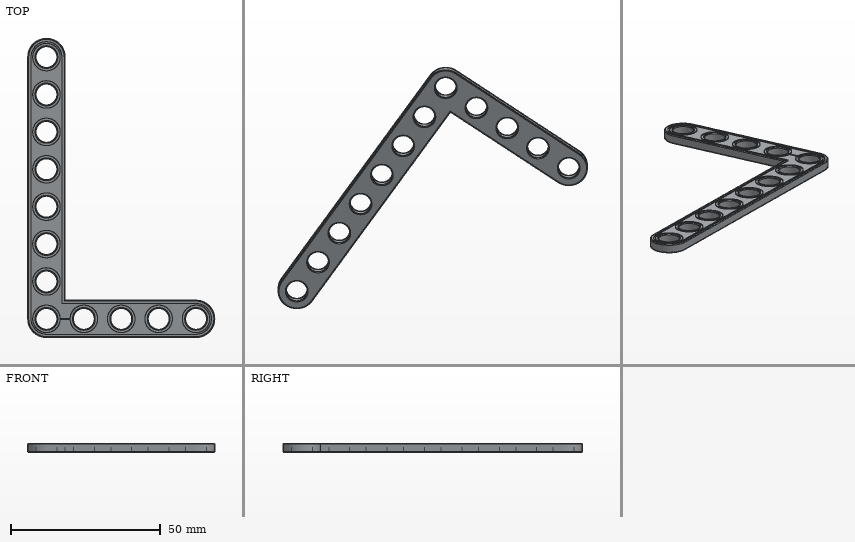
import cadquery as cq

hole_pitch = 12.5
bar_width = 12.5
thickness = 3.1
holes_along_x = 5
holes_along_y = 8
hole_diameter = 7.0
wall = 1.1
edge_chamfer = 0.3
panel_depth = 0.2
web_width = 0.3
web_height = 0.1

ring_diameter = hole_diameter + 2 * wall
panel_level = thickness - panel_depth
hole_centers = [(i * hole_pitch, 0) for i in range(holes_along_x)]
hole_centers += [(0, i * hole_pitch) for i in range(1, holes_along_y)]


def angle_plate(width, height):
    """L-shaped plate with rounded ends, centred on the two rows of holes."""
    reach_x = (holes_along_x - 1) * hole_pitch
    reach_y = (holes_along_y - 1) * hole_pitch
    x_arm = (
        cq.Workplane("XY")
        .center(reach_x / 2, 0)
        .slot2D(reach_x + width, width)
        .extrude(height)
    )
    y_arm = (
        cq.Workplane("XY")
        .center(0, reach_y / 2)
        .slot2D(reach_y + width, width, 90)
        .extrude(height)
    )
    return x_arm.union(y_arm).clean()


def hole_rings():
    """Raised collars that stand on the panel around the holes."""
    return (
        cq.Workplane("XY")
        .workplane(offset=panel_level)
        .pushPoints(hole_centers)
        .circle(ring_diameter / 2)
        .extrude(panel_depth)
    )


def corner_web():
    """Thin web between the corner ring and the next ring along X."""
    web_length = hole_pitch - hole_diameter - wall
    return (
        cq.Workplane("XY")
        .workplane(offset=panel_level)
        .center(hole_pitch / 2, 0)
        .rect(web_length, web_width)
        .extrude(web_height)
    )


def chamfered_holes():
    """Cutters for the through holes, flared at both ends."""
    hole_radius = hole_diameter / 2
    flare_radius = hole_radius + edge_chamfer
    profile = [
        (0, 0),
        (flare_radius, 0),
        (hole_radius, edge_chamfer),
        (hole_radius, thickness - edge_chamfer),
        (flare_radius, thickness),
        (0, thickness),
    ]
    cutter = cq.Workplane("XZ").polyline(profile).close().revolve(360, (0, 0), (0, 1))
    return (
        cq.Workplane("XY")
        .pushPoints(hole_centers)
        .eachpoint(lambda place: cutter.val().moved(place))
    )


body = angle_plate(bar_width, thickness).faces("<Z or >Z").chamfer(edge_chamfer)
panel = angle_plate(bar_width - 2 * wall, panel_depth).translate((0, 0, panel_level))

result = (
    body.cut(panel)
    .union(hole_rings())
    .union(corner_web())
    .cut(chamfered_holes())
)